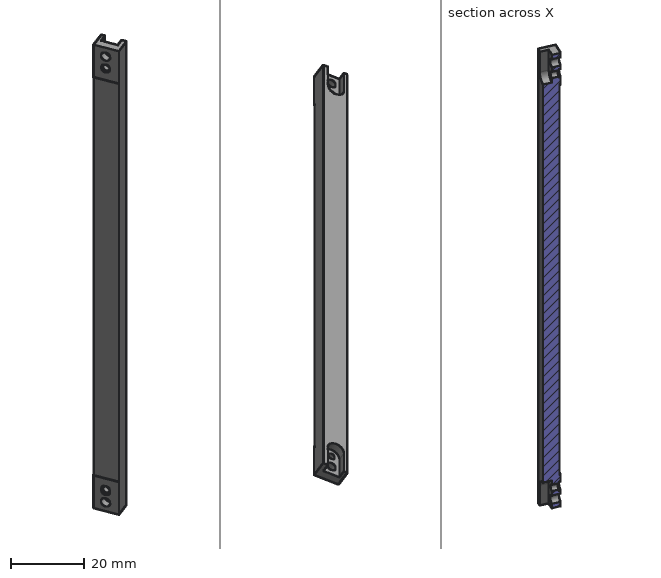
import cadquery as cq

width = 7.8
thickness = 5.2
length = 156.0
left = -width / 2
right = width / 2
front = -thickness / 2
back = thickness / 2

pad_length = 11.0
pad_height = 0.2
middle_length = length - 2 * pad_length
middle_front = front + pad_height

rear_chamfer = 0.35
rear_right_chamfer = 0.2
front_chamfer_width = 0.3
front_chamfer_depth = 0.2
end_chamfer = 0.3

feature_x = -0.1

outer_hole_diameter = 2.7
outer_hole_inset = 3.0
inner_hole_diameter = 2.0
inner_hole_inset = 7.0

counterbore_diameter = 2.6
counterbore_depth = 0.5
bottom_counterbore_stretch = 0.4

pocket_width = 5.0
pocket_depth = 2.6


def cut_vertical_corner(body, x, y, leg_x, leg_y, height):
    """Chamfer the vertical edge at (x, y); signed legs point into the bar."""
    wedge = (
        cq.Workplane("XY")
        .polyline([(x, y), (x + leg_x, y), (x, y + leg_y)])
        .close()
        .extrude(height / 2, both=True)
    )
    return body.cut(wedge)


def make_bar():
    """Chamfered bar with a raised front pad at each end."""
    bar = cq.Workplane("XY").box(width, thickness, length)
    bar = cut_vertical_corner(bar, left, front, front_chamfer_width, front_chamfer_depth, length)
    bar = cut_vertical_corner(bar, left, back, rear_chamfer, -rear_chamfer, length)
    bar = cut_vertical_corner(bar, right, back, -rear_right_chamfer, -rear_right_chamfer, length)
    relief = cq.Workplane("XY").box(width, pad_height, middle_length)
    bar = bar.cut(relief.translate((0, front + pad_height / 2, 0)))
    return cut_vertical_corner(
        bar, left, middle_front, front_chamfer_width, front_chamfer_depth, middle_length
    )


def from_back(end, inset):
    """Workplane on the rear face, centred at an inset from one end, extruding toward the front."""
    return cq.Workplane("XZ", origin=(feature_x, back, end * (length / 2 - inset)))


def cut_end_chamfer(body, end):
    """Chamfer the short edge between the left face and an end face."""
    z = end * length / 2
    wedge = (
        cq.Workplane("XZ")
        .polyline([(left, z), (left + end_chamfer, z), (left, z - end * end_chamfer)])
        .close()
        .extrude(thickness, both=True)
    )
    return body.cut(wedge)


def cut_pocket(body, end):
    """Cut the rear pocket, from the end face to a half-round concentric with the inner hole."""
    half_round = from_back(end, inner_hole_inset).circle(pocket_width / 2).extrude(pocket_depth)
    straight = (
        from_back(end, inner_hole_inset / 2)
        .rect(pocket_width, inner_hole_inset)
        .extrude(pocket_depth)
    )
    return body.cut(half_round).cut(straight)


def cut_holes(body, end):
    """Drill both through holes and counterbore the inner one from the front."""
    outer = from_back(end, outer_hole_inset).circle(outer_hole_diameter / 2).extrude(thickness)
    inner = from_back(end, inner_hole_inset).circle(inner_hole_diameter / 2).extrude(thickness)
    seat_plane = from_back(end, inner_hole_inset).workplane(offset=thickness - counterbore_depth)
    if end > 0:
        seat_outline = seat_plane.circle(counterbore_diameter / 2)
    else:
        seat_length = counterbore_diameter + bottom_counterbore_stretch
        seat_outline = seat_plane.slot2D(seat_length, counterbore_diameter, 90)
    return body.cut(outer).cut(inner).cut(seat_outline.extrude(counterbore_depth))


result = make_bar()
for end in (1, -1):
    result = cut_end_chamfer(result, end)
    result = cut_pocket(result, end)
    result = cut_holes(result, end)